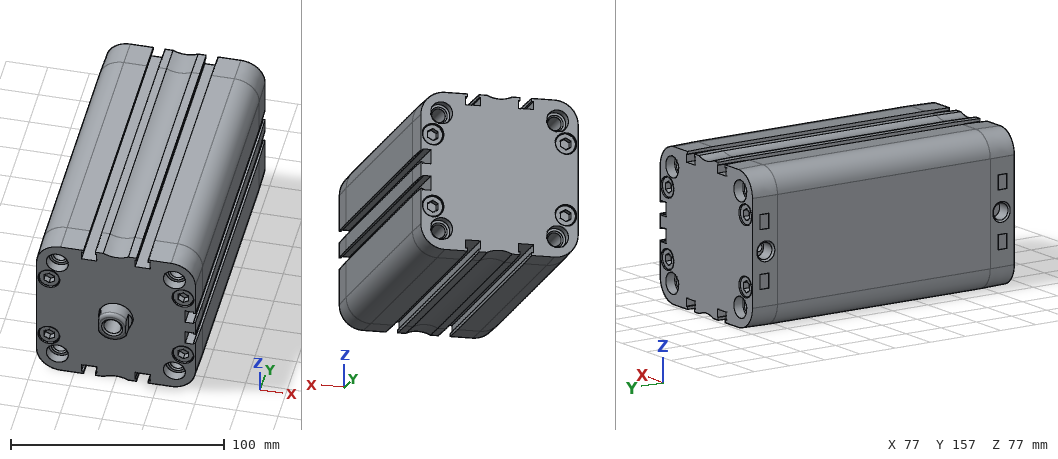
import cadquery as cq
import math

side = 77.0
overall_length = 157.0
body_length = 149.0
rod_reach = overall_length - body_length
cap_length = 14.0
cap_inset = 0.3
corner_radius = 12.0
half = side / 2

hollow_half_width = 6.0
hollow_depth = 1.4

upper_slot_mouth = (9.9, 15.5)
upper_slot_channel = (9.3, 16.5)
upper_slot_depth = 5.7
upper_lip_depth = 1.7
side_slot_mouth = (3.6, 9.3)
side_slot_channel = (3.0, 9.9)
side_slot_depth = 5.2
side_lip_depth = 1.3

mount_offset = 28.1
mount_core_diameter = 6.6
mount_thread_diameter = 8.0
mount_recess_diameter = 10.5
mount_recess_depth = 5.0

screw_x = 32.2
screw_z = 17.5
screw_pocket_diameter = 10.4
screw_head_diameter = 9.7
screw_pocket_depth = 1.5
screw_head_recess = 0.6
hex_across_flats = 5.0
hex_depth = 4.0

port_setback = 7.4
port_diameter = 8.3
port_rim_diameter = 10.4
port_depth = 7.8
port_duct_diameter = 4.0
port_duct_shift = 1.3
port_duct_depth = 4.7

label_setback = 6.8
label_z = 14.5
label_length = 4.9
label_height = 7.2
label_floor = 0.5

rod_diameter = 16.0
rod_clearance_diameter = 16.5
rod_clearance_depth = 1.5
rod_tip_radius = 1.7
rod_flats_width = 13.0
rod_flats_length = 5.5
rod_bore_diameter = 8.3
rod_bore_rim_diameter = 10.0
rod_bore_depth = 18.8


def outline(y):
    """Rounded square with the hollows, drawn at y on a plane whose normal is +Y."""
    straight = half - corner_radius
    diagonal = straight + corner_radius * math.sqrt(0.5)
    plane = cq.Plane(origin=(0, y, 0), xDir=(-1, 0, 0), normal=(0, 1, 0))
    return (
        cq.Workplane(plane)
        .moveTo(-straight, half)
        .lineTo(-hollow_half_width, half)
        .threePointArc((0, half - hollow_depth), (hollow_half_width, half))
        .lineTo(straight, half)
        .threePointArc((diagonal, diagonal), (half, straight))
        .lineTo(half, -straight)
        .threePointArc((diagonal, -diagonal), (straight, -half))
        .lineTo(hollow_half_width, -half)
        .threePointArc((0, hollow_depth - half), (-hollow_half_width, -half))
        .lineTo(-straight, -half)
        .threePointArc((-diagonal, -diagonal), (-half, -straight))
        .lineTo(-half, straight)
        .threePointArc((-diagonal, diagonal), (-straight, half))
        .close()
    )


def mirrored_to_rear(shape):
    """Copy of a front cap feature at the rear cap."""
    return shape.mirror("XZ", (0, body_length / 2, 0))


def cone(start_diameter, end_diameter, length, start, direction):
    """Tapered cylinder from a start point along a direction."""
    base = cq.Vector(*start)
    axis = cq.Vector(*direction)
    return cq.Workplane(cq.Solid.makeCone(start_diameter / 2, end_diameter / 2, length, base, axis))


def cylinder(diameter, length, start, direction):
    """Cylinder from the centre of one end along a direction."""
    base = cq.Vector(*start)
    axis = cq.Vector(*direction)
    return cq.Workplane(cq.Solid.makeCylinder(diameter / 2, length, base, axis))


def cylinder_y(diameter, y, length, x=0.0, z=0.0):
    """Cylinder that runs along +Y from y."""
    return cylinder(diameter, length, (x, y, z), (0, 1, 0))


def bar(x_range, z_range):
    """Rectangular bar over the whole body length."""
    width = x_range[1] - x_range[0]
    height = z_range[1] - z_range[0]
    return cq.Workplane("XY").box(width, body_length, height, centered=False).translate(
        (x_range[0], 0, z_range[0])
    )


def make_body():
    """Straight tube between two end caps that narrow towards their end faces."""
    draft = math.degrees(math.atan(cap_inset / cap_length))
    tube = outline(cap_length).extrude(body_length - 2 * cap_length)
    rear_cap = outline(body_length - cap_length).extrude(cap_length, taper=draft)
    return tube.union(rear_cap).union(mirrored_to_rear(rear_cap))


def make_slots():
    """Two slots in the top, two in the bottom and two in the +X side."""
    upper = bar(upper_slot_mouth, (half - upper_slot_depth, half)).union(
        bar(upper_slot_channel, (half - upper_slot_depth, half - upper_lip_depth))
    )
    upper = upper.union(upper.mirror("YZ"))
    beside = bar((half - side_slot_depth, half), side_slot_mouth).union(
        bar((half - side_slot_depth, half - side_lip_depth), side_slot_channel)
    )
    slots = upper.union(beside)
    return slots.union(slots.mirror("XY"))


def make_mount_hole(x, z):
    """Through hole with a wide recess and a countersunk thread start at both ends."""
    step_length = (mount_thread_diameter - mount_core_diameter) / 2
    recess = cylinder_y(mount_recess_diameter, 0, mount_recess_depth, x, z).union(
        cone(mount_thread_diameter, mount_core_diameter, step_length,
             (x, mount_recess_depth, z), (0, 1, 0))
    )
    core = cylinder_y(mount_core_diameter, 0, body_length, x, z)
    return core.union(recess).union(mirrored_to_rear(recess))


def make_screw_cut(x, z):
    """Pocket around a slightly sunken screw head, and the hexagon socket in the head."""
    head_height = screw_pocket_depth - screw_head_recess
    pocket = cylinder_y(screw_pocket_diameter, 0, screw_pocket_depth, x, z).cut(
        cylinder_y(screw_head_diameter, screw_head_recess, head_height, x, z)
    )
    socket = (
        cq.Workplane("XZ")
        .polygon(6, hex_across_flats / math.cos(math.pi / 6))
        .extrude(-hex_depth)
        .rotate((0, 0, 0), (0, 1, 0), 30)
        .translate((x, 0, z))
    )
    cut = pocket.union(socket)
    return cut.union(mirrored_to_rear(cut))


def make_port():
    """Round port with a countersunk rim and a narrow duct in its floor."""
    rim_depth = (port_rim_diameter - port_diameter) / 2
    inward = (1, 0, 0)
    entry = (-half, port_setback, 0)
    duct_start = (port_depth - half, port_setback + port_duct_shift, 0)
    bore = cylinder(port_diameter, port_depth, entry, inward)
    rim = cone(port_rim_diameter, port_diameter, rim_depth, entry, inward)
    duct = cylinder(port_duct_diameter, port_duct_depth, duct_start, inward)
    port = bore.union(rim).union(duct)
    return port.union(mirrored_to_rear(port))


def make_labels():
    """Four shallow rectangular recesses in the -X side."""
    recess = cq.Workplane("XY").box(2 * label_floor, label_length, label_height)
    upper = recess.translate((-half, label_setback, label_z))
    front = upper.union(upper.mirror("XY"))
    return front.union(mirrored_to_rear(front))


def make_rod():
    """Rod end with a rounded tip and two wrench flats that ramp out at 45 degrees."""
    length = rod_reach + rod_clearance_depth
    rod = cylinder_y(rod_diameter, -rod_reach, length)
    rod = rod.faces("<Y").edges().fillet(rod_tip_radius)
    flat_x = rod_flats_width / 2
    ramp = rod_diameter / 2 - flat_x
    flat_end = rod_flats_length - rod_reach
    flat_cut = (
        cq.Workplane("XY")
        .polyline([
            (flat_x, -rod_reach),
            (flat_x, flat_end),
            (flat_x + ramp, flat_end + ramp),
            (flat_x + ramp, -rod_reach),
        ])
        .close()
        .extrude(rod_diameter / 2, both=True)
    )
    return rod.cut(flat_cut).cut(flat_cut.mirror("YZ"))


def make_rod_bore():
    """Blind bore in the rod tip with a countersunk rim."""
    rim_depth = (rod_bore_rim_diameter - rod_bore_diameter) / 2
    rim = cone(rod_bore_rim_diameter, rod_bore_diameter, rim_depth, (0, -rod_reach, 0), (0, 1, 0))
    return cylinder_y(rod_bore_diameter, -rod_reach, rod_bore_depth).union(rim)


cylinder_unit = make_body().cut(make_slots()).cut(make_port()).cut(make_labels())
for side_x in (-1, 1):
    for side_z in (-1, 1):
        mount_hole = make_mount_hole(side_x * mount_offset, side_z * mount_offset)
        screw_cut = make_screw_cut(side_x * screw_x, side_z * screw_z)
        cylinder_unit = cylinder_unit.cut(mount_hole).cut(screw_cut)
cylinder_unit = cylinder_unit.cut(cylinder_y(rod_clearance_diameter, 0, rod_clearance_depth))
cylinder_unit = cylinder_unit.union(make_rod()).cut(make_rod_bore())

result = cq.Workplane(cylinder_unit.solids().val())